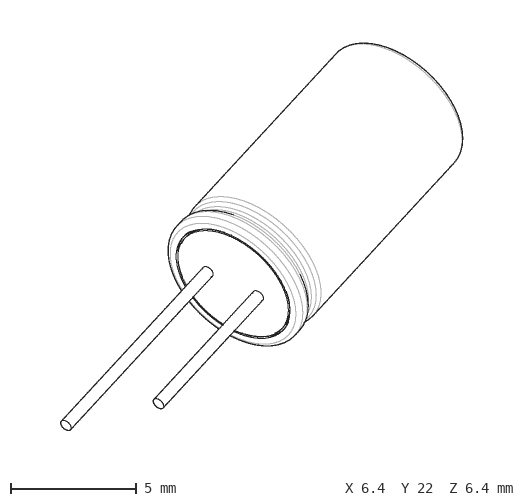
import cadquery as cq

overall_length = 22.0
can_diameter = 6.4
can_length = 11.81
edge_radius = 0.2

groove_depth = 0.2
groove_center = 1.01
groove_floor_width = 0.2
groove_flank_width = 0.4

seal_diameter = 5.28
gap_width = 0.077
gap_depth = 0.1

lead_diameter = 0.5
lead_pitch = 2.4
long_lead_length = overall_length - can_length
short_lead_length = 7.15

can_radius = can_diameter / 2


def make_can():
    """Can with its base at Y = 0, a smooth crimp groove and two rounded ends."""
    floor_half = groove_floor_width / 2
    mouth_half = floor_half + groove_flank_width
    bend_half = floor_half + groove_flank_width / 2
    floor_radius = can_radius - groove_depth
    bend_radius = can_radius - groove_depth / 2

    can = (
        cq.Workplane("XY")
        .lineTo(can_radius, 0)
        .lineTo(can_radius, groove_center - mouth_half)
        .tangentArcPoint((bend_radius, groove_center - bend_half), relative=False)
        .tangentArcPoint((floor_radius, groove_center - floor_half), relative=False)
        .lineTo(floor_radius, groove_center + floor_half)
        .tangentArcPoint((bend_radius, groove_center + bend_half), relative=False)
        .tangentArcPoint((can_radius, groove_center + mouth_half), relative=False)
        .lineTo(can_radius, can_length)
        .lineTo(0, can_length)
        .close()
        .revolve(360, (0, 0), (0, 1))
    )
    return can.faces("<Y or >Y").edges().fillet(edge_radius)


def make_seal_gap():
    """Ring that separates the seal from the rim, sunk into the base."""
    seal_radius = seal_diameter / 2
    return (
        cq.Workplane("XZ")
        .circle(seal_radius + gap_width)
        .circle(seal_radius)
        .extrude(-gap_depth)
    )


def make_lead(x, length):
    """Straight round lead reaching out from the base."""
    return cq.Workplane("XZ").center(x, 0).circle(lead_diameter / 2).extrude(length)


result = (
    make_can()
    .cut(make_seal_gap())
    .union(make_lead(-lead_pitch / 2, long_lead_length))
    .union(make_lead(lead_pitch / 2, short_lead_length))
)